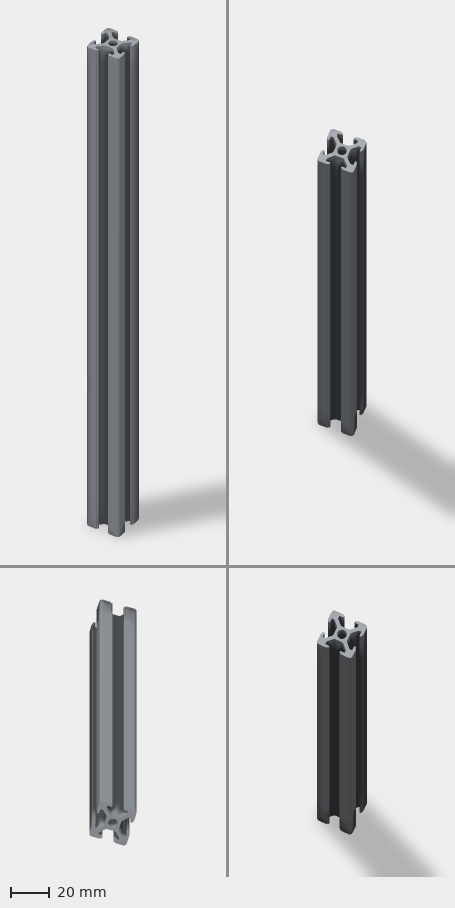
import cadquery as cq
import math

LENGTH = 308.0
WIDTH = 20.0
CORNER_RADIUS = 1.5
BORE_DIAMETER = 5.0

SLOT_OPENING = 6.2
SLOT_INNER_WIDTH = 11.0
LIP_THICKNESS = 1.5
LIP_EDGE_RADIUS = 0.3
MOUTH_WIDTH = 8.0
MOUTH_DEPTH = 0.45
CORE_WIDTH = 7.7
WEB_THICKNESS = 2.0
FLOOR_FILLET_RADIUS = 2.0

SELECT_MARGIN = 0.03

half_width = WIDTH / 2
half_opening = SLOT_OPENING / 2
half_mouth = MOUTH_WIDTH / 2
half_inner = SLOT_INNER_WIDTH / 2
half_core = CORE_WIDTH / 2
lip_ledge = half_width - MOUTH_DEPTH
lip_underside = half_width - LIP_THICKNESS

web_offset = WEB_THICKNESS / math.sqrt(2)
floor_half_width = half_core - web_offset
flank_top = half_inner + web_offset


def make_bar():
    bar = cq.Workplane("XY").rect(WIDTH, WIDTH).extrude(LENGTH)
    return bar.edges("|Z").fillet(CORNER_RADIUS)


def make_slot():
    """Cutter for the T-slot that opens toward +Y."""
    right_side = [
        (floor_half_width, half_core),
        (half_inner, flank_top),
        (half_inner, lip_underside),
        (half_opening, lip_underside),
        (half_opening, lip_ledge),
        (half_mouth, lip_ledge),
        (half_mouth, half_width),
    ]
    left_side = [(-x, y) for x, y in reversed(right_side)]
    slot = cq.Workplane("XY").polyline(right_side + left_side).close().extrude(LENGTH)
    slot = slot.faces("<Y").edges("|Z").fillet(FLOOR_FILLET_RADIUS)
    ledge_corners = cq.selectors.BoxSelector(
        (-half_opening - SELECT_MARGIN, lip_ledge - SELECT_MARGIN, 0),
        (half_opening + SELECT_MARGIN, lip_ledge + SELECT_MARGIN, LENGTH),
    )
    return slot.edges("|Z").edges(ledge_corners).fillet(LIP_EDGE_RADIUS)


result = make_bar()
slot_cutter = make_slot()
for side in range(4):
    result = result.cut(slot_cutter.rotate((0, 0, 0), (0, 0, 1), 90 * side))

bore = cq.Workplane("XY").circle(BORE_DIAMETER / 2).extrude(LENGTH)
result = result.cut(bore)